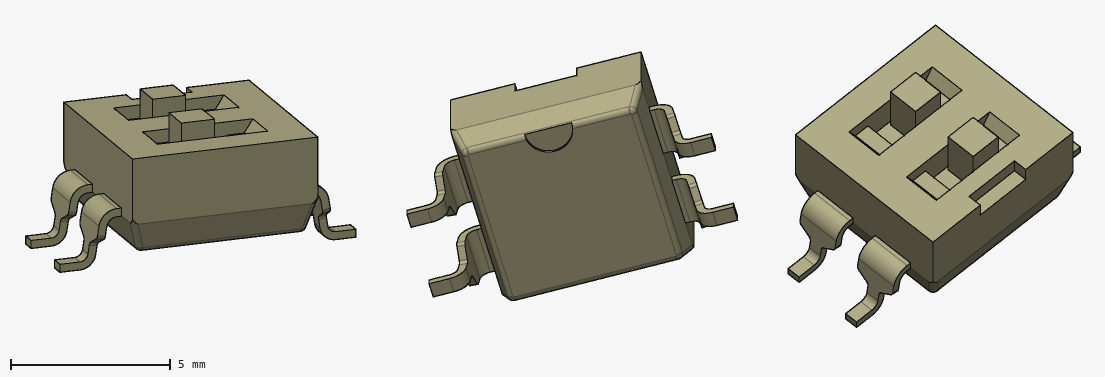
import cadquery as cq
import math

POSITIONS = 2
PITCH = 2.54
PIN_SPAN = 9.9

HOUSING_X = 6.08
HOUSING_Y = 6.2
HOUSING_BOTTOM = 0.8
HOUSING_TOP = 3.99
TAPER_TOP = 1.82
TAPER_ANGLE = 16.0
BASE_FILLET = 0.2

WINDOW_X = 1.32
WINDOW_Y = 3.68
SHELF_DEPTH = 0.44
RAMP_RUN = 0.29
TRENCH_Y = 2.01
TRENCH_DEPTH = 1.09

SLIDER_SIDE = 1.11
SLIDER_TOP = 4.55

NOTCH_DEPTH_X = 0.495
NOTCH_DEPTH_Z = 0.495
NOTCH_Y = TRENCH_Y

RECESS_RADIUS = 0.76
RECESS_DEPTH = 0.09

PIN_THICKNESS = 0.27
PIN_TOP = 2.07
PIN_WIDTH = 1.55
LEG_WIDTH = 0.49
LEG_ANGLE = 9.0
SHOULDER_FLAT = 0.15
UPPER_BEND = 0.34
LOWER_BEND = 0.27
NECK_TOP = 1.16
NECK_ANGLE = 30.0
NECK_FILLET = 0.15

switch_places = [(i - (POSITIONS - 1) / 2) * PITCH for i in range(POSITIONS)]


def box_between(x_range, y_range, z_range):
    """A box given by its lower and upper limits along each axis."""
    (x0, x1), (y0, y1), (z0, z1) = x_range, y_range, z_range
    return cq.Workplane("XY").box(x1 - x0, y1 - y0, z1 - z0, centered=False).translate((x0, y0, z0))


def make_shell():
    """Straight-walled block whose lower part follows a rounded, tapered base."""
    height = HOUSING_TOP - HOUSING_BOTTOM
    slope = math.tan(math.radians(TAPER_ANGLE))
    inset = (TAPER_TOP - HOUSING_BOTTOM) * slope
    outset = (HOUSING_TOP - TAPER_TOP) * slope
    base = (
        cq.Workplane("XY", origin=(0, 0, HOUSING_TOP))
        .rect(HOUSING_X + 2 * outset, HOUSING_Y + 2 * outset)
        .extrude(-height, taper=TAPER_ANGLE)
    )
    base = base.edges("not (|X or |Y)").fillet(BASE_FILLET)
    base = base.faces("<Z").edges().fillet(BASE_FILLET)
    block = (
        cq.Workplane("XY", origin=(0, 0, HOUSING_BOTTOM))
        .rect(HOUSING_X, HOUSING_Y)
        .extrude(height)
    )
    recess = (
        cq.Workplane("XY", origin=(inset - HOUSING_X / 2, 0, HOUSING_BOTTOM))
        .circle(RECESS_RADIUS)
        .extrude(RECESS_DEPTH)
    )
    notch = box_between(
        (-HOUSING_X / 2, -HOUSING_X / 2 + NOTCH_DEPTH_X),
        (-NOTCH_Y / 2, NOTCH_Y / 2),
        (HOUSING_TOP - NOTCH_DEPTH_Z, HOUSING_TOP),
    )
    return block.intersect(base).cut(recess).cut(notch)


def make_window(x):
    """Volume of one window: ramps down to a shelf at both ends, with a deeper trench between."""
    end = WINDOW_Y / 2
    shelf_end = end - RAMP_RUN
    trench_end = TRENCH_Y / 2
    shelf = HOUSING_TOP - SHELF_DEPTH
    floor = HOUSING_TOP - TRENCH_DEPTH
    return (
        cq.Workplane("YZ", origin=(x, 0, 0))
        .polyline([
            (-end, HOUSING_TOP),
            (-shelf_end, shelf),
            (-trench_end, shelf),
            (-trench_end, floor),
            (trench_end, floor),
            (trench_end, shelf),
            (shelf_end, shelf),
            (end, HOUSING_TOP),
        ])
        .close()
        .extrude(WINDOW_X / 2, both=True)
    )


def make_slider(x):
    """Square knob rising from the trench floor, against the -Y end of the trench."""
    return box_between(
        (x - SLIDER_SIDE / 2, x + SLIDER_SIDE / 2),
        (-TRENCH_Y / 2, -TRENCH_Y / 2 + SLIDER_SIDE),
        (HOUSING_TOP - TRENCH_DEPTH, SLIDER_TOP),
    )


def make_housing():
    """Shell with one window and one slider for each switch."""
    housing = make_shell()
    for x in switch_places:
        housing = housing.cut(make_window(x)).union(make_slider(x))
    return housing


def make_strip():
    """Gull-wing strip of full width at X = 0, on the +Y side of the housing."""
    lean = math.radians(LEG_ANGLE)
    turn_start = HOUSING_Y / 2 + SHOULDER_FLAT
    outer_upper = UPPER_BEND + PIN_THICKNESS
    outer_lower = LOWER_BEND + PIN_THICKNESS
    upper_z = PIN_TOP - outer_upper
    lower_z = outer_lower

    leg_rise = upper_z - lower_z + (outer_upper + LOWER_BEND) * math.sin(lean)
    foot_start = turn_start + (outer_upper + LOWER_BEND) * math.cos(lean) + leg_rise * math.tan(lean)

    def on_upper(radius, angle):
        return turn_start + radius * math.cos(angle), upper_z + radius * math.sin(angle)

    def on_lower(radius, angle):
        return foot_start - radius * math.cos(angle), lower_z - radius * math.sin(angle)

    middle = (lean + math.pi / 2) / 2
    return (
        cq.Workplane("YZ")
        .moveTo(HOUSING_Y / 2, PIN_TOP)
        .lineTo(turn_start, PIN_TOP)
        .threePointArc(on_upper(outer_upper, middle), on_upper(outer_upper, lean))
        .lineTo(*on_lower(LOWER_BEND, lean))
        .threePointArc(on_lower(LOWER_BEND, middle), (foot_start, PIN_THICKNESS))
        .lineTo(PIN_SPAN / 2, PIN_THICKNESS)
        .lineTo(PIN_SPAN / 2, 0)
        .lineTo(foot_start, 0)
        .threePointArc(on_lower(outer_lower, middle), on_lower(outer_lower, lean))
        .lineTo(*on_upper(UPPER_BEND, lean))
        .threePointArc(on_upper(UPPER_BEND, middle), (turn_start, PIN_TOP - PIN_THICKNESS))
        .lineTo(HOUSING_Y / 2, PIN_TOP - PIN_THICKNESS)
        .close()
        .extrude(PIN_WIDTH / 2, both=True)
    )


def make_pin():
    """Strip narrowed to the leg width by sloped, rounded shoulders cut square to the leg."""
    wide = PIN_WIDTH / 2
    narrow = LEG_WIDTH / 2
    neck_height = (wide - narrow) * math.tan(math.radians(NECK_ANGLE))
    leg_y = HOUSING_Y / 2 + SHOULDER_FLAT + UPPER_BEND + PIN_THICKNESS
    lean = math.radians(LEG_ANGLE)
    leg_plane = cq.Plane(
        origin=(0, leg_y, NECK_TOP),
        xDir=(1, 0, 0),
        normal=(0, -math.cos(lean), -math.sin(lean)),
    )
    outline = (
        cq.Workplane(leg_plane)
        .polyline([
            (-wide, PIN_SPAN),
            (-wide, 0),
            (-narrow, -neck_height),
            (-narrow, -PIN_SPAN),
            (narrow, -PIN_SPAN),
            (narrow, -neck_height),
            (wide, 0),
            (wide, PIN_SPAN),
        ])
        .close()
        .extrude(PIN_SPAN, both=True)
        .edges(cq.selectors.ParallelDirSelector(leg_plane.zDir))
        .fillet(NECK_FILLET)
    )
    return make_strip().intersect(outline)


housing = make_housing()

pin = make_pin()
pins = []
for x in switch_places:
    pins.append(pin.translate((x, 0, 0)))
    pins.append(pin.rotate((0, 0, 0), (0, 0, 1), 180).translate((x, 0, 0)))

result = cq.Compound.makeCompound([housing.val(), *[p.val() for p in pins]])